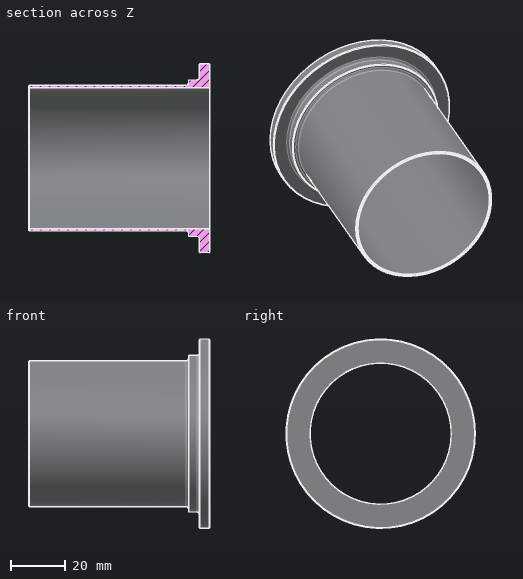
import cadquery as cq

total_length = 67.0
flange_thickness = 4.0
collar_length = 4.0

bore_diameter = 52.0
tube_diameter = 54.0
collar_diameter = 58.0
flange_diameter = 70.0

edge_chamfer = 0.3
corner_fillet = 0.8

selection_margin = 0.01

flange_start = total_length - flange_thickness
collar_start = flange_start - collar_length


def cylinder_along_x(diameter, start, end):
    """Solid cylinder centred on the X axis between two X positions."""
    return cq.Workplane("YZ").workplane(offset=start).circle(diameter / 2).extrude(end - start)


def ring_edge_at(diameter, x_position):
    """Selector for the circular edge of a given diameter at an X position."""
    x_low = x_position - selection_margin
    x_high = x_position + selection_margin

    def box_around(reach):
        return cq.selectors.BoxSelector(
            (x_low, -reach, -reach), (x_high, reach, reach), boundingbox=True
        )

    radius = diameter / 2
    return box_around(radius + selection_margin) - box_around(radius - selection_margin)


def stepped_body():
    """Tube, collar and flange joined in one piece."""
    tube = cylinder_along_x(tube_diameter, 0, collar_start)
    collar = cylinder_along_x(collar_diameter, collar_start, flange_start)
    flange = cylinder_along_x(flange_diameter, flange_start, total_length)
    return tube.union(collar).union(flange)


def bored(body):
    """Straight bore through the whole length."""
    return body.cut(cylinder_along_x(bore_diameter, 0, total_length))


def with_inside_corner_fillets(body):
    """Round the inside corners at the front of the collar and of the flange."""
    for diameter, x_position in ((tube_diameter, collar_start), (collar_diameter, flange_start)):
        body = body.edges(ring_edge_at(diameter, x_position)).fillet(corner_fillet)
    return body


def with_edge_chamfers(body):
    """Break the outer edges of the tube end, the collar and both flange faces, and the bore mouth."""
    chamfered_edges = (
        (bore_diameter, 0),
        (tube_diameter, 0),
        (collar_diameter, collar_start),
        (flange_diameter, flange_start),
        (flange_diameter, total_length),
    )
    for diameter, x_position in chamfered_edges:
        body = body.edges(ring_edge_at(diameter, x_position)).chamfer(edge_chamfer)
    return body


result = with_edge_chamfers(with_inside_corner_fillets(bored(stepped_body())))